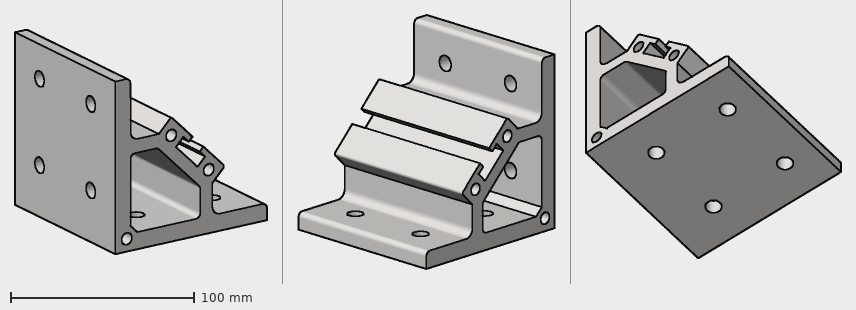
import cadquery as cq
import math

width = 98.0
leg_length = 100.0
leg_thickness = 10.0
leg_tip_radius = 3.0

rib_outer = 64.0
rib_inner = 56.0
rib_fillet = 5.0

head_face = 77.1
head_back = 59.3
head_half_length = 25.0
head_tip_radius = 1.5

slot_roof = 73.6
slot_floor = 66.6
slot_half_width = 10.0
slot_mouth_half_width = 5.0

pocket_fillet = 3.0
pocket_chamfer = 4.5

end_hole_diameter = 6.8
corner_hole_offset = 7.5
head_hole_distance = 69.6
head_hole_half_spacing = 17.5

mount_hole_diameter = 9.0
mount_hole_spacing = 50.0
mount_hole_distances = (30.0, 80.0)


def diagonal_point(distance, offset):
    """Y, Z of a point out along the 45 degree line and shifted sideways towards +Z."""
    return ((distance - offset) / math.sqrt(2), (distance + offset) / math.sqrt(2))


def mirrored(points):
    """Complete a half outline by reflecting it in the line y = z."""
    return points + [(z, y) for y, z in reversed(points)]


def prism(points):
    """Extrude a closed Y-Z outline over the full width, centred on x = 0."""
    return cq.Workplane("YZ").polyline(points).close().extrude(width / 2, both=True)


def round_edges(body, points, radius):
    """Fillet the lengthwise edges passing through the given Y-Z points."""
    for y, z in points:
        body = body.edges(cq.selectors.NearestToPointSelector((0, y, z))).fillet(radius)
    return body


def make_body():
    head_tip = diagonal_point(head_face, head_half_length)
    end_face_rise = head_half_length * math.sqrt(2)
    leg_tip = (leg_thickness, leg_length)
    rib_root = (leg_thickness, rib_outer)
    half_outline = [
        (0, leg_length),
        leg_tip,
        rib_root,
        (rib_outer - end_face_rise, rib_outer),
        head_tip,
    ]
    body = prism([(0, 0)] + mirrored(half_outline))
    body = round_edges(body, mirrored([leg_tip]), leg_tip_radius)
    body = round_edges(body, mirrored([rib_root]), rib_fillet)
    return round_edges(body, mirrored([head_tip]), head_tip_radius)


def make_pocket():
    rib_corner = (leg_thickness, rib_inner)
    head_corner = (head_back * math.sqrt(2) - rib_inner, rib_inner)
    chamfer_corner = (leg_thickness, leg_thickness + pocket_chamfer)
    pocket = prism(mirrored([chamfer_corner, rib_corner, head_corner]))
    return round_edges(pocket, mirrored([rib_corner, head_corner]), pocket_fillet)


def make_slot():
    half_outline = [
        diagonal_point(head_face, slot_mouth_half_width),
        diagonal_point(slot_roof, slot_mouth_half_width),
        diagonal_point(slot_roof, slot_half_width),
        diagonal_point(slot_floor, slot_half_width),
    ]
    return prism(mirrored(half_outline))


def make_end_holes():
    head_hole = diagonal_point(head_hole_distance, head_hole_half_spacing)
    centers = [(corner_hole_offset, corner_hole_offset)] + mirrored([head_hole])
    holes = cq.Workplane("YZ").pushPoints(centers).circle(end_hole_diameter / 2)
    return holes.extrude(width / 2, both=True)


def make_mount_holes():
    centers = [
        (side * mount_hole_spacing / 2, distance)
        for side in (-1, 1)
        for distance in mount_hole_distances
    ]
    radius = mount_hole_diameter / 2
    base_holes = cq.Workplane("XY").pushPoints(centers).circle(radius).extrude(leg_thickness)
    wall_holes = cq.Workplane("XZ").pushPoints(centers).circle(radius).extrude(-leg_thickness)
    return base_holes.union(wall_holes)


result = (
    make_body()
    .cut(make_pocket())
    .cut(make_slot())
    .cut(make_end_holes())
    .cut(make_mount_holes())
)